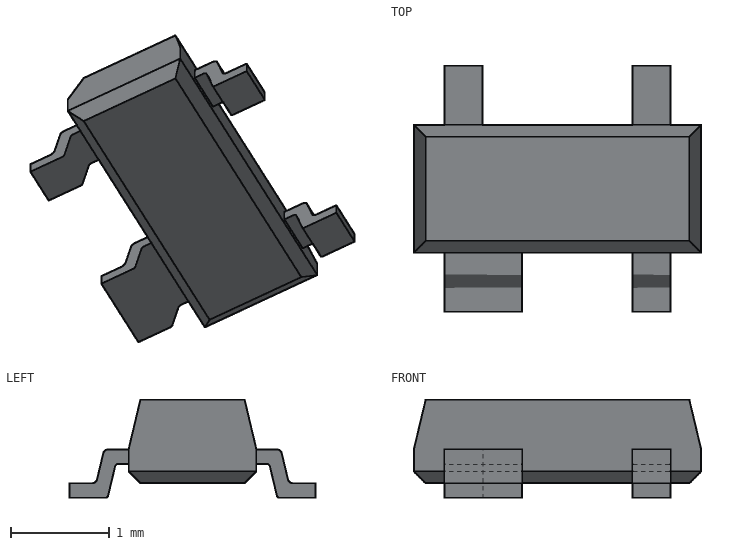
import cadquery as cq
import math

body_length = 2.92
body_width = 1.30
body_bottom = 0.15
belt_bottom = 0.27
belt_top = 0.495
body_top = 1.00
taper_inset = 0.12

lead_span = 2.50
lead_thickness = 0.15
lead_slope = math.radians(13.4)
foot_length = 0.27
outer_bend_radius = 0.055
inner_bend_radius = 0.033
narrow_lead_width = 0.39
wide_lead_width = 0.79
lead_side_margin = 0.31

FRONT = -1
REAR = 1


def belt_plane(z):
    return cq.Workplane("XY").workplane(offset=z)


def make_body():
    """Rectangular belt between two tapered frustums."""
    inset_length = body_length - 2 * taper_inset
    inset_width = body_width - 2 * taper_inset
    belt = belt_plane(belt_bottom).rect(body_length, body_width).extrude(belt_top - belt_bottom)
    upper = (
        belt_plane(belt_top)
        .rect(body_length, body_width)
        .workplane(offset=body_top - belt_top)
        .rect(inset_length, inset_width)
        .loft(ruled=True)
    )
    lower = (
        belt_plane(body_bottom)
        .rect(inset_length, inset_width)
        .workplane(offset=belt_bottom - body_bottom)
        .rect(body_length, body_width)
        .loft(ruled=True)
    )
    return belt.union(upper).union(lower)


def make_lead(left_x, width, side):
    """Gull-wing lead from the body wall to its tip, on the front or rear side."""
    tip = lead_span / 2
    wall = body_width / 2
    shoulder_underside = belt_top - lead_thickness
    run_per_height = math.tan(lead_slope)
    leg_width = lead_thickness / math.cos(lead_slope)

    def outer_leg_y(z):
        return tip - foot_length - (z - lead_thickness) * run_per_height

    def inner_leg_y(z):
        return outer_leg_y(z) - leg_width

    profile = [
        (wall, belt_top),
        (outer_leg_y(belt_top), belt_top),
        (outer_leg_y(lead_thickness), lead_thickness),
        (tip, lead_thickness),
        (tip, 0),
        (inner_leg_y(0), 0),
        (inner_leg_y(shoulder_underside), shoulder_underside),
        (wall, shoulder_underside),
    ]
    outer_bends = profile[1:3]
    inner_bends = profile[5:7]

    lead = cq.Workplane("YZ", origin=(left_x, 0, 0)).polyline(profile).close().extrude(width)
    for bends, radius in ((outer_bends, outer_bend_radius), (inner_bends, inner_bend_radius)):
        for y, z in bends:
            bend_center = (left_x + width / 2, y, z)
            lead = lead.edges(cq.selectors.NearestToPointSelector(bend_center)).fillet(radius)
    if side == FRONT:
        lead = lead.mirror("XZ")
    return lead


body = make_body()

left_lead_x = -body_length / 2 + lead_side_margin
right_lead_x = body_length / 2 - lead_side_margin - narrow_lead_width
lead_places = [
    (left_lead_x, wide_lead_width, FRONT),
    (right_lead_x, narrow_lead_width, FRONT),
    (left_lead_x, narrow_lead_width, REAR),
    (right_lead_x, narrow_lead_width, REAR),
]
leads = [make_lead(left_x, width, side) for left_x, width, side in lead_places]

result = cq.Compound.makeCompound([body.val(), *[lead.val() for lead in leads]])